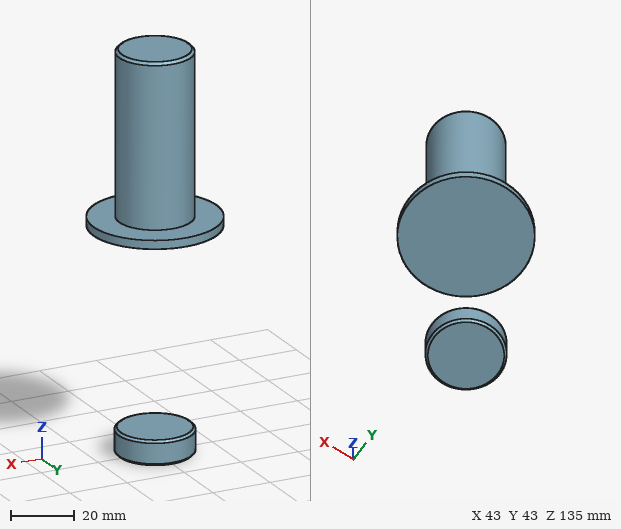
import cadquery as cq

total_height = 135.0

flange_diameter = 43.0
flange_thickness = 3.0
shank_diameter = 25.0
pin_height = 59.0
shank_chamfer = 1.0

cap_diameter = 25.5
cap_height = 8.5
cap_chamfer = 0.8

pin_base_z = total_height - pin_height


def make_pin():
    """Flange and shank in one piece, with the free end of the shank chamfered."""
    flange = cq.Workplane("XY").circle(flange_diameter / 2).extrude(flange_thickness)
    shank = (
        cq.Workplane("XY")
        .circle(shank_diameter / 2)
        .extrude(pin_height)
        .faces(">Z")
        .chamfer(shank_chamfer)
    )
    return flange.union(shank).translate((0, 0, pin_base_z))


def make_cap():
    """Short disc with both rims chamfered."""
    return (
        cq.Workplane("XY")
        .circle(cap_diameter / 2)
        .extrude(cap_height)
        .faces("<Z or >Z")
        .chamfer(cap_chamfer)
    )


pin = make_pin()
cap = make_cap()

result = cq.Compound.makeCompound([pin.val(), cap.val()])